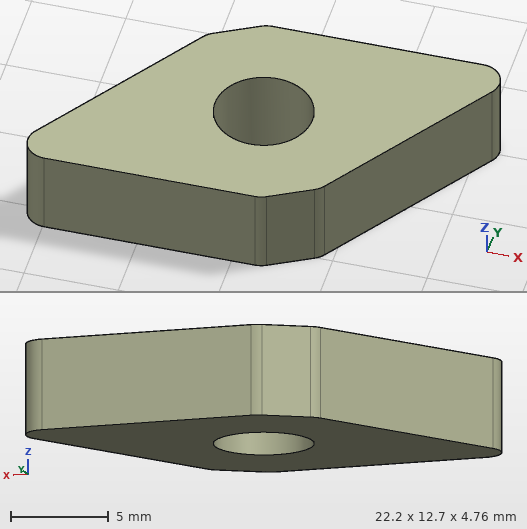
import cadquery as cq
import math

inscribed_diameter = 12.7
thickness = 4.76
hole_diameter = 5.16
corner_radius = 1.1906
nose_angle = 55.0

inscribed_radius = inscribed_diameter / 2

half_turn_normals = [-90.0, -90.0 + nose_angle / 2, -90.0 + nose_angle]
side_normals = half_turn_normals + [angle + 180.0 for angle in half_turn_normals]


def tangent_corner(first_normal, second_normal):
    """Point where two sides tangent to the inscribed circle meet."""
    bisector = math.radians((first_normal + second_normal) / 2)
    half_gap = math.radians((second_normal - first_normal) / 2)
    distance = inscribed_radius / math.cos(half_gap)
    return distance * math.cos(bisector), distance * math.sin(bisector)


def make_body():
    """Six-sided prism around the Z axis, standing on Z = 0, with rounded vertical edges."""
    following_normals = side_normals[1:] + [side_normals[0] + 360.0]
    corners = [tangent_corner(a, b) for a, b in zip(side_normals, following_normals)]
    prism = cq.Workplane("XY").polyline(corners).close().extrude(thickness)
    return prism.edges("|Z").fillet(corner_radius)


def make_hole():
    """Cylinder through the full thickness on the insert axis."""
    return cq.Workplane("XY").circle(hole_diameter / 2).extrude(thickness)


result = make_body().cut(make_hole())